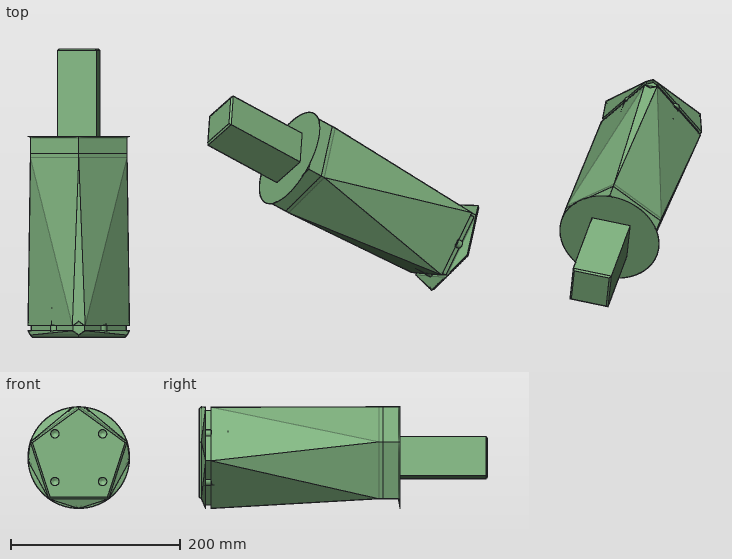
import cadquery as cq
import math


end_y = 340.0
flange_rear_y = 237.0
flange_front_y = 235.0
rear_block_front_y = 216.5
twist_start_y = 212.0
housing_front_y = 14.0
plate_rear_y = 7.8
rim_y = 2.7
face_y = 0.0

body_diameter = 120.0
body_radius = body_diameter / 2
neck_radius = 56.0
face_radius = 57.5
sides = 5
pentagon_angle = 360 / sides
twisted_angle = 86.4
shank_width = 46.2
shank_tilt = 5.0
shank_chamfer = 2.0

stud_count = 4
stud_circle_diameter = 79.5
stud_diameter = 10.0
stud_tip_diameter = 8.0
stud_tip_length = 20.5
stud_socket_angle = 118.0

arrow_length = 5.0
arrow_half_width = 6.5
arrow_depth = 1.0


def ring_point(radius, angle, y):
    """Point at a radius and at an angle measured from +X towards +Z."""
    a = math.radians(angle)
    return cq.Vector(radius * math.cos(a), y, radius * math.sin(a))


def pentagon(radius, y):
    """Regular pentagon, clockwise from its top corner."""
    return [ring_point(radius, 90 - i * pentagon_angle, y) for i in range(sides)]


def twisted_pentagon(radius, y):
    """Pentagon with its middle corner at the bottom and a short flat on top, clockwise from top right."""
    return [ring_point(radius, -90 + (sides // 2 - i) * twisted_angle, y) for i in range(sides)]


def outline(corners):
    return cq.Wire.makePolygon(corners, close=True)


def solid_from_faces(corner_lists):
    """Closed solid bounded by flat faces, each given as its list of corners."""
    faces = [cq.Face.makeFromWires(outline(corners)) for corners in corner_lists]
    return cq.Workplane(cq.Solid.makeSolid(cq.Shell.makeShell(faces)).fix())


def antiprism(pointed, twisted):
    """Join a pentagon to a twisted pentagon with a belt of flat triangles."""
    corner_lists = [pointed, twisted]
    for i in range(sides):
        following = (i + 1) % sides
        corner_lists.append([pointed[i], pointed[following], twisted[i]])
        corner_lists.append([twisted[i], twisted[following], pointed[following]])
    return solid_from_faces(corner_lists)


def ruled_loft(first, second):
    return cq.Workplane(cq.Solid.makeLoft([first, second], True))


def circle_in_arcs(radius, y):
    """Circle split into arcs at the corners of the pentagon."""
    arcs = []
    for i in range(sides):
        start = 90 - i * pentagon_angle
        arcs.append(
            cq.Edge.makeThreePointArc(
                ring_point(radius, start, y),
                ring_point(radius, start - pentagon_angle / 2, y),
                ring_point(radius, start - pentagon_angle, y),
            )
        )
    return cq.Wire.assembleEdges(arcs)


def make_shank_block():
    """Square shank, the flange that blends a circle into the pentagon, and the pentagonal block."""
    shank = (
        cq.Workplane("XZ", origin=(0, flange_rear_y, 0))
        .transformed(rotate=(0, 0, shank_tilt))
        .rect(shank_width, shank_width)
        .extrude(flange_rear_y - end_y)
        .faces(">Y")
        .chamfer(shank_chamfer)
    )
    flange = ruled_loft(
        circle_in_arcs(body_radius, flange_rear_y),
        outline(pentagon(body_radius, flange_front_y)),
    )
    block = ruled_loft(
        outline(pentagon(body_radius, flange_front_y)),
        outline(pentagon(body_radius, rear_block_front_y)),
    )
    return shank.union(flange).union(block)


def arrow_prism(tip_y, base_y, half_width, floor_z):
    """Upright triangular prism that points along Y and reaches past the top of the body."""
    return (
        cq.Workplane("XY", origin=(0, 0, floor_z))
        .polyline([(0, tip_y), (-half_width, base_y), (half_width, base_y)])
        .close()
        .extrude(body_radius - floor_z)
    )


def make_housing_arrow():
    """Cutter for the arrow that deepens towards the front edge of the housing."""
    tip_y = housing_front_y + arrow_length
    top_z = twisted_pentagon(body_radius, housing_front_y)[0].z
    triangle = arrow_prism(tip_y, housing_front_y, arrow_half_width, top_z - arrow_depth)
    wedge = (
        cq.Workplane("YZ")
        .polyline(
            [
                (tip_y, top_z),
                (housing_front_y, top_z - arrow_depth),
                (housing_front_y, body_radius),
                (tip_y, body_radius),
            ]
        )
        .close()
        .extrude(arrow_half_width, both=True)
    )
    return triangle.intersect(wedge)


def make_plate_arrow():
    """Cutter for the arrow in the plate, as wide at its base and as deep as the top flat of the neck."""
    neck_corner = twisted_pentagon(neck_radius, plate_rear_y)[0]
    return arrow_prism(rim_y, plate_rear_y, neck_corner.x, neck_corner.z)


def make_stud(x, z):
    """Stud with a conical socket in its head and a thinner tip that enters the housing."""
    radius = stud_diameter / 2
    tip_radius = stud_tip_diameter / 2
    socket_depth = radius / math.tan(math.radians(stud_socket_angle / 2))
    taper_length = radius - tip_radius
    half_section = [
        (0, face_y + socket_depth),
        (radius, face_y),
        (radius, housing_front_y),
        (tip_radius, housing_front_y + taper_length),
        (tip_radius, housing_front_y + stud_tip_length),
        (0, housing_front_y + stud_tip_length),
    ]
    return cq.Workplane("XY").polyline(half_section).close().revolve(360, (0, 0), (0, 1)).translate((x, 0, z))


def make_stud_bore(x, z):
    """Space for one stud, open at the front face."""
    mouth = cq.Solid.makeCylinder(
        stud_diameter / 2, plate_rear_y - face_y, cq.Vector(x, face_y, z), cq.Vector(0, 1, 0)
    )
    return make_stud(x, z).union(cq.Workplane(mouth))


def make_housing():
    collar = ruled_loft(
        outline(pentagon(body_radius, rear_block_front_y)),
        outline(pentagon(body_radius, twist_start_y)),
    )
    twist = antiprism(
        pentagon(body_radius, twist_start_y),
        twisted_pentagon(body_radius, housing_front_y),
    )
    return collar.union(twist).cut(make_housing_arrow())


def make_plate():
    """Front plate that untwists to a regular pentagon, with a bevelled face and a recessed neck behind."""
    neck = ruled_loft(
        outline(twisted_pentagon(neck_radius, housing_front_y)),
        outline(twisted_pentagon(neck_radius, plate_rear_y)),
    )
    rim = antiprism(pentagon(body_radius, rim_y), twisted_pentagon(body_radius, plate_rear_y))
    bevel = ruled_loft(outline(pentagon(body_radius, rim_y)), outline(pentagon(face_radius, face_y)))
    return rim.union(bevel).cut(make_plate_arrow()).union(neck)


shank_block = make_shank_block()
housing = make_housing()
plate = make_plate()

studs = []
for i in range(stud_count):
    place = ring_point(stud_circle_diameter / 2, 45 + i * 360 / stud_count, face_y)
    studs.append(make_stud(place.x, place.z))
    bore = make_stud_bore(place.x, place.z)
    housing = housing.cut(bore)
    plate = plate.cut(bore)

bodies = [shank_block, housing, plate, *studs]
result = cq.Compound.makeCompound([body.solids().val() for body in bodies])